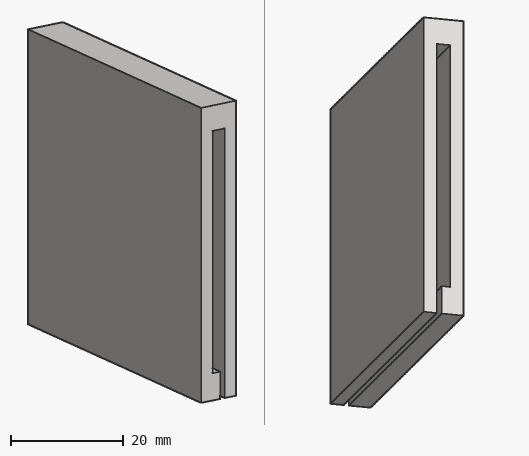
import cadquery as cq

width = 55.0
thickness = 7.5
height = 55.0

back_wall = 2.5
front_wall = 2.5
bridge_height = 4.75

lip_height = 5.1
mouth_gap = 0.95

slot_back = thickness - back_wall
slot_front = front_wall
slot_top = height - bridge_height
lip_face = slot_back - mouth_gap

section = [
    (0, 0),
    (lip_face, 0),
    (lip_face, lip_height),
    (slot_front, lip_height),
    (slot_front, slot_top),
    (slot_back, slot_top),
    (slot_back, 0),
    (thickness, 0),
    (thickness, height),
    (0, height),
]

result = cq.Workplane("YZ").polyline(section).close().extrude(width)